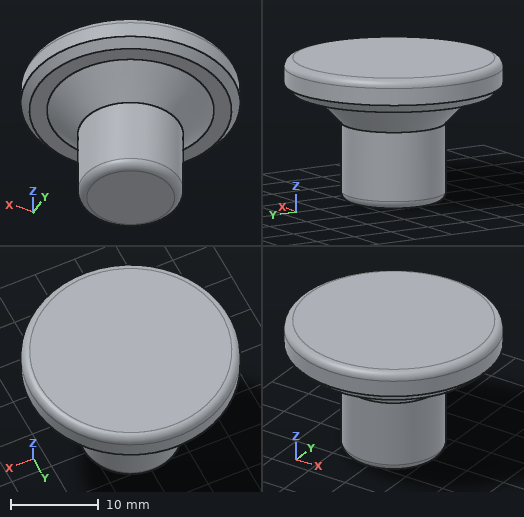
import cadquery as cq

head_diameter = 25
stem_diameter = 12
total_height = 16.5
head_thickness = 4
stem_length = 9
edge_size = 1

head_bottom = total_height - head_thickness
neck_height = head_bottom - stem_length
neck_top_radius = stem_diameter / 2 + neck_height


def make_stem():
    """Cylindrical stem with a rounded lower end."""
    stem = cq.Workplane("XY").circle(stem_diameter / 2).extrude(stem_length)
    return stem.faces("<Z").edges().fillet(edge_size)


def make_neck():
    """45 degree cone that widens from the stem to the head."""
    return (
        cq.Workplane("XZ")
        .moveTo(0, stem_length)
        .lineTo(stem_diameter / 2, stem_length)
        .lineTo(neck_top_radius, head_bottom)
        .lineTo(0, head_bottom)
        .close()
        .revolve(360, (0, 0, 0), (0, 1, 0))
    )


def make_head():
    """Disc with a rounded top edge and a chamfered lower edge."""
    head = (
        cq.Workplane("XY")
        .workplane(offset=head_bottom)
        .circle(head_diameter / 2)
        .extrude(head_thickness)
    )
    head = head.faces(">Z").edges().fillet(edge_size)
    return head.faces("<Z").edges().chamfer(edge_size)


result = make_stem().union(make_neck()).union(make_head())